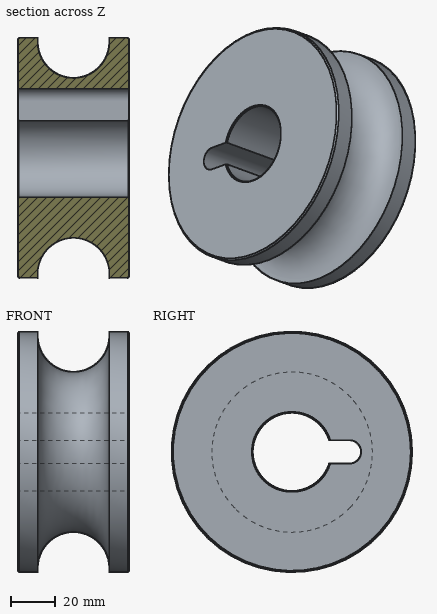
import cadquery as cq

wheel_diameter = 108.0
wheel_width = 50.0
rim_chamfer = 0.7

groove_radius = 16.0
groove_wall = 2.0

bore_diameter = 35.0
bore_chamfer = 0.5

keyway_width = 10.4
keyway_reach = 31.0

wheel_radius = wheel_diameter / 2
bore_radius = bore_diameter / 2
half_width = wheel_width / 2
groove_centre_radius = wheel_radius - groove_wall
groove_root_radius = groove_centre_radius - groove_radius
keyway_end_radius = keyway_width / 2
keyway_end_centre = keyway_reach - keyway_end_radius


def make_wheel():
    """Grooved wheel with chamfered rims and bore, revolved about X."""
    profile = (
        cq.Workplane("XY")
        .moveTo(-half_width, bore_radius + bore_chamfer)
        .lineTo(-half_width, wheel_radius - rim_chamfer)
        .lineTo(-half_width + rim_chamfer, wheel_radius)
        .lineTo(-groove_radius, wheel_radius)
        .lineTo(-groove_radius, groove_centre_radius)
        .threePointArc((0, groove_root_radius), (groove_radius, groove_centre_radius))
        .lineTo(groove_radius, wheel_radius)
        .lineTo(half_width - rim_chamfer, wheel_radius)
        .lineTo(half_width, wheel_radius - rim_chamfer)
        .lineTo(half_width, bore_radius + bore_chamfer)
        .lineTo(half_width - bore_chamfer, bore_radius)
        .lineTo(-half_width + bore_chamfer, bore_radius)
        .close()
    )
    return profile.revolve(360, (0, 0, 0), (1, 0, 0))


def make_keyway():
    """Round-ended keyway cutter running from the axis towards +Y, full width."""
    return (
        cq.Workplane("YZ", origin=(-half_width, 0, 0))
        .moveTo(0, -keyway_end_radius)
        .lineTo(keyway_end_centre, -keyway_end_radius)
        .threePointArc((keyway_reach, 0), (keyway_end_centre, keyway_end_radius))
        .lineTo(0, keyway_end_radius)
        .close()
        .extrude(wheel_width)
    )


result = make_wheel().cut(make_keyway())